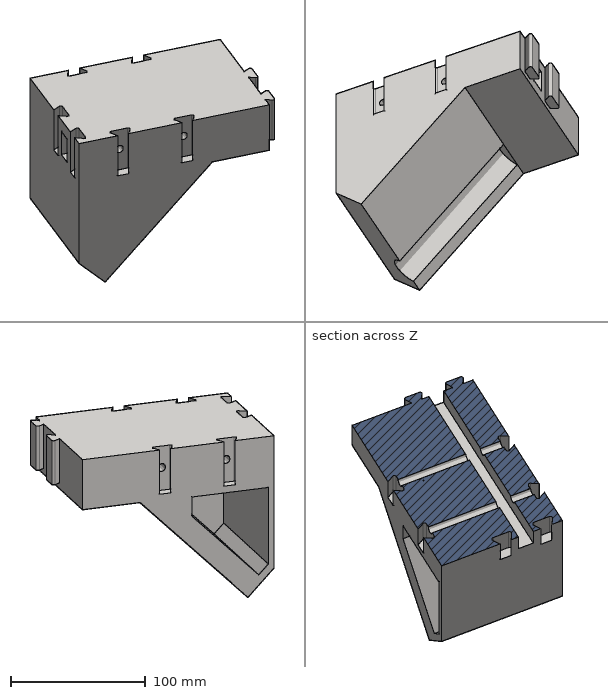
import cadquery as cq
import math

width = 100.0
total_length = 158.1
tail_length = 6.8
body_length = total_length - tail_length
height = 125.0
slab_thickness = 39.5
tip_y = 20.7
slope_rise = height - slab_thickness

dovetail_height = 34.8
flank_angle = 60.0
front_centers = (52.8, 86.5)
tail_centers = (53.3, 87.3)
side_centers = (35.1, 86.0)

slot_mouth = 8.7
slot_depth = 7.7
slot_round = 1.5
tail_root = 8.7
tail_round = 1.6

cross_hole_diameter = 6.0
cross_hole_z = -17.0
window_width = 12.0
window_height = 20.1
window_top = -10.0

pocket_wall = 4.6
pocket_back = 65.0
pocket_top = -40.2
pocket_tip_y = 12.2
pocket_tip_z = -108.0

groove_x = 22.3
groove_radius = 11.7


def make_body():
    outline = [
        (0, 0),
        (body_length, 0),
        (body_length, -slab_thickness),
        (tip_y + slope_rise, -slab_thickness),
        (tip_y, -height),
        (0, tip_y - height),
    ]
    return cq.Workplane("YZ").polyline(outline).close().extrude(width)


def make_dovetail(narrow_width, depth, rounding):
    """Dovetail hanging from Z = 0, narrow at Y = 0 and widening toward +Y."""
    narrow = narrow_width / 2
    wide = narrow + depth / math.tan(math.radians(flank_angle))
    outline = [(-narrow, 0), (narrow, 0), (wide, depth), (-wide, depth)]
    prism = cq.Workplane("XY").polyline(outline).close().extrude(-dovetail_height)
    return prism.faces(">Y").edges("|Z").fillet(rounding)


def make_pocket():
    back_bottom = pocket_tip_z + pocket_back - pocket_tip_y
    front_bottom = pocket_tip_z + pocket_tip_y - pocket_wall
    outline = [
        (pocket_wall, pocket_top),
        (pocket_back, pocket_top),
        (pocket_back, back_bottom),
        (pocket_tip_y, pocket_tip_z),
        (pocket_wall, front_bottom),
    ]
    return cq.Workplane("YZ").polyline(outline).close().extrude(width - pocket_wall)


def make_window():
    center_x = sum(front_centers) / 2
    passage = cq.Workplane("XY").box(
        window_width, body_length, window_height, centered=(True, False, False)
    )
    return passage.translate((center_x, 0, window_top - window_height))


def make_groove():
    """Cylinder centred on the slope, running from the tip to the slab."""
    end_plane = cq.Plane(
        origin=(groove_x, tip_y, -height), xDir=(1, 0, 0), normal=(0, 1, 1)
    )
    return cq.Workplane(end_plane).circle(groove_radius).extrude(slope_rise * math.sqrt(2))


result = make_body()

slot = make_dovetail(slot_mouth, slot_depth, slot_round)
tail = make_dovetail(tail_root, tail_length, tail_round)
for x in front_centers:
    result = result.cut(slot.translate((x, 0, 0)))
for x in tail_centers:
    result = result.union(tail.translate((x, body_length, 0)))

left_slot = slot.rotate((0, 0, 0), (0, 0, 1), -90)
right_slot = slot.rotate((0, 0, 0), (0, 0, 1), 90)
for y in side_centers:
    result = result.cut(left_slot.translate((0, y, 0)))
    result = result.cut(right_slot.translate((width, y, 0)))
    cross_hole = (
        cq.Workplane("YZ")
        .center(y, cross_hole_z)
        .circle(cross_hole_diameter / 2)
        .extrude(width)
    )
    result = result.cut(cross_hole)

result = result.cut(make_window())
result = result.cut(make_pocket())
result = result.cut(make_groove())